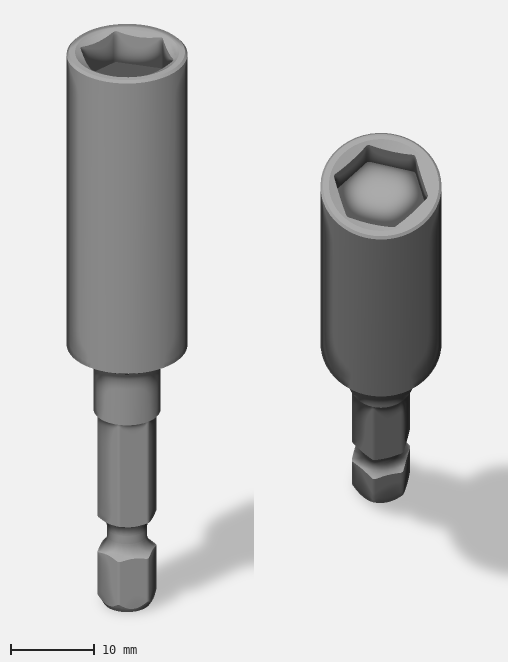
import cadquery as cq
import math

total_length = 75.0
sleeve_length = 40.0
shank_length = 26.2

socket_radius = 7.24
collar_radius = 4.01
shoulder_angle = 30.0
outer_rim_chamfer = 0.3
hex_socket_flats = 10.1
hex_socket_corner_radius = 0.5
hex_socket_depth = 4.5
mouth_radius = 6.2
mouth_angle = 30.0

magnet_radius = 4.01
magnet_thickness = 3.0

shank_flats = 6.4
shank_corner_radius = 0.45
groove_radius = 2.4
groove_arc_radius = 2.0
groove_center_height = 9.6
groove_land_length = 1.1
tip_radius = 2.85
tip_chamfer_angle = 60.0

sleeve_bottom = total_length - sleeve_length
shoulder_height = (socket_radius - collar_radius) * math.tan(math.radians(shoulder_angle))
socket_floor = total_length - hex_socket_depth
magnet_bottom = socket_floor - magnet_thickness
mouth_depth = mouth_radius * math.tan(math.radians(mouth_angle))


def revolve_profile(profile):
    """Turn a closed radius-height profile a full circle about Z."""
    return profile.close().revolve(360, (0, 0, 0), (0, 1, 0))


def hex_prism(across_flats, corner_radius, bottom, height, turn):
    """Hexagonal bar along Z with rounded long edges, turned about Z in degrees."""
    across_corners = across_flats / math.cos(math.radians(30))
    prism = cq.Workplane("XY").workplane(offset=bottom).polygon(6, across_corners).extrude(height)
    return prism.edges("|Z").fillet(corner_radius).rotate((0, 0, 0), (0, 0, 1), turn)


def make_magnet():
    return cq.Workplane("XY").workplane(offset=magnet_bottom).circle(magnet_radius).extrude(magnet_thickness)


def make_socket():
    body = revolve_profile(
        cq.Workplane("XZ")
        .moveTo(0, shank_length)
        .lineTo(collar_radius, shank_length)
        .lineTo(collar_radius, sleeve_bottom - shoulder_height)
        .lineTo(socket_radius, sleeve_bottom)
        .lineTo(socket_radius, total_length)
        .lineTo(0, total_length)
    )
    body = body.faces(">Z").chamfer(outer_rim_chamfer)

    recess = hex_prism(hex_socket_flats, hex_socket_corner_radius, socket_floor, hex_socket_depth, 30)

    lead_in = revolve_profile(
        cq.Workplane("XZ")
        .moveTo(0, total_length)
        .lineTo(mouth_radius, total_length)
        .lineTo(0, total_length - mouth_depth)
    )
    return body.cut(recess).cut(lead_in).cut(make_magnet())


def make_groove_cutter():
    """Ring with a straight land and an outward-flaring arc at each end."""
    land_bottom = groove_center_height - groove_land_length / 2
    land_top = groove_center_height + groove_land_length / 2
    flare_radius = groove_radius + groove_arc_radius
    arc_offset = groove_arc_radius * math.sin(math.radians(45))
    arc_mid_radius = flare_radius - arc_offset
    return revolve_profile(
        cq.Workplane("XZ")
        .moveTo(groove_radius, land_bottom)
        .lineTo(groove_radius, land_top)
        .threePointArc((arc_mid_radius, land_top + arc_offset), (flare_radius, land_top + groove_arc_radius))
        .lineTo(flare_radius, land_bottom - groove_arc_radius)
        .threePointArc((arc_mid_radius, land_bottom - arc_offset), (groove_radius, land_bottom))
    )


def make_shank():
    bar = hex_prism(shank_flats, shank_corner_radius, 0, shank_length, 0)

    tip_cone_radius = shank_flats
    tip_cone_height = (tip_cone_radius - tip_radius) * math.tan(math.radians(tip_chamfer_angle))
    tip_envelope = revolve_profile(
        cq.Workplane("XZ")
        .lineTo(tip_radius, 0)
        .lineTo(tip_cone_radius, tip_cone_height)
        .lineTo(tip_cone_radius, shank_length)
        .lineTo(0, shank_length)
    )
    return bar.intersect(tip_envelope).cut(make_groove_cutter())


socket = make_socket()
magnet = make_magnet()
shank = make_shank()

result = cq.Compound.makeCompound([socket.val(), magnet.val(), shank.val()])